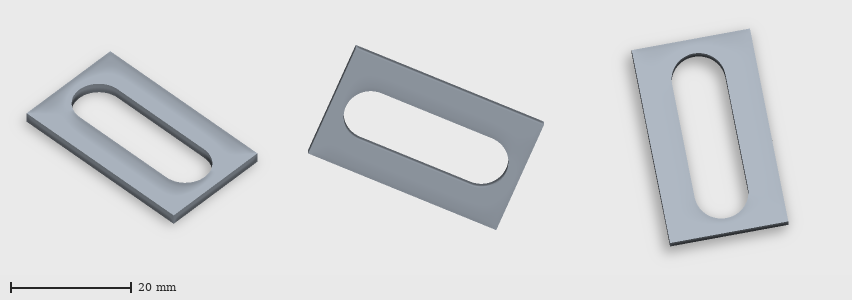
import cadquery as cq

plate_length = 34.0
plate_width = 20.0
plate_thickness = 2.0

slot_length = 29.0
slot_width = 9.0

plate = cq.Workplane("XY").box(plate_length, plate_width, plate_thickness)

result = plate.faces(">Z").workplane().slot2D(slot_length, slot_width).cutThruAll()